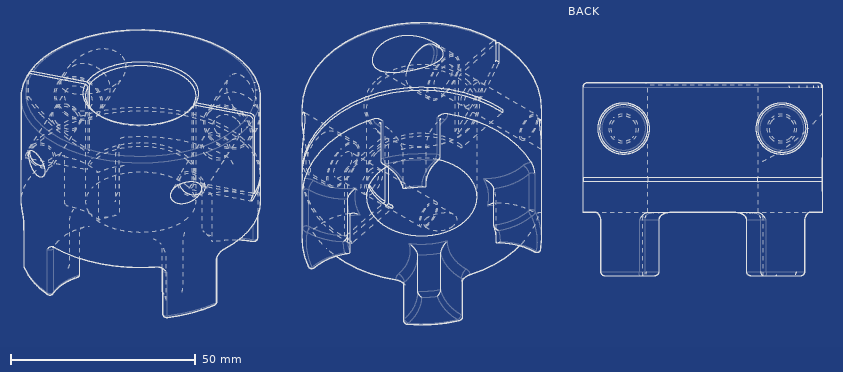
import cadquery as cq
import math

hub_radius = 32.5
hub_height = 35.2
hub_top_round = 1.3
bore_radius = 14.95
bore_chamfer = 0.7

jaw_count = 4
jaw_length = 17.3
jaw_inner_radius = 20.15
lobe_gap_radius = 15.7
lobe_gap_offset = 26.65
jaw_corner_round = 1.0
jaw_tip_round = 1.2
jaw_root_fillet = 2.0

saw_width = 1.2
flat_cut_height = 8.9
flat_cut_end_y = -2.0
split_cut_radius = 50.05
hinge_height = 26.9

screw_spacing = 42.9
screw_drop = 12.5
shank_diameter = 8.0
shank_length = 29.95
head_diameter = 13.0
head_length = 8.0
head_top_y = 18.1
head_round = 0.6
counterbore_diameter = 14.0
exit_hole_diameter = 6.8

screw_height = hub_height - screw_drop
head_seat_y = head_top_y - head_length
screw_end_y = head_seat_y - shank_length
screw_places = [-screw_spacing / 2, screw_spacing / 2]

overrun = 0.65
shoulder_tolerance = 0.05
wall_tolerance = 0.2


def y_cylinder(diameter, x, y_from, y_to):
    """A cylinder parallel to Y at screw height, reaching from one Y to a larger one."""
    start = cq.Vector(x, y_from, screw_height)
    along_y = cq.Vector(0, 1, 0)
    return cq.Workplane(cq.Solid.makeCylinder(diameter / 2, y_to - y_from, start, along_y))


def radius_of(edge):
    """How far the middle of an edge lies from the hub axis."""
    middle = edge.positionAt(0.5)
    return math.hypot(middle.x, middle.y)


def make_jaws():
    """Four separate jaws, rounded at the outer upright corners and at the tip."""
    lobe_gaps = (
        cq.Workplane("XY")
        .polarArray(lobe_gap_offset, 0, 360, jaw_count)
        .circle(lobe_gap_radius)
        .extrude(-jaw_length)
    )
    ring = cq.Workplane("XY").circle(hub_radius).circle(jaw_inner_radius).extrude(-jaw_length)
    jaws = []
    for plain_jaw in ring.cut(lobe_gaps).solids().vals():
        jaw = cq.Workplane(plain_jaw)
        upright_edges = jaw.edges("|Z").vals()
        outer_corners = [edge for edge in upright_edges if radius_of(edge) > jaw_inner_radius + overrun]
        jaw = jaw.newObject(outer_corners).fillet(jaw_corner_round)
        jaws.append(jaw.faces("<Z").edges().fillet(jaw_tip_round))
    return jaws


def fillet_jaw_roots(blank):
    """Fillet the edges where the jaws grow from the shoulder, inside the hub wall."""
    shoulder = cq.selectors.BoxSelector(
        (-hub_radius, -hub_radius, -shoulder_tolerance),
        (hub_radius, hub_radius, shoulder_tolerance),
        boundingbox=True,
    )
    nearest = bore_radius + overrun
    farthest = hub_radius - wall_tolerance
    roots = [edge for edge in blank.edges(shoulder).vals() if nearest < radius_of(edge) < farthest]
    return blank.newObject(roots).fillet(jaw_root_fillet)


def make_blank():
    """Bored hub with its jaws, before any sawing or drilling."""
    blank = cq.Workplane("XY").circle(hub_radius).extrude(hub_height)
    blank = blank.faces(">Z").edges().fillet(hub_top_round)
    blank = blank.cut(cq.Workplane("XY").circle(bore_radius).extrude(hub_height))
    bore_rim = cq.selectors.RadiusNthSelector(0)
    blank = blank.faces(">Z").edges("%CIRCLE").edges(bore_rim).chamfer(bore_chamfer)
    for jaw in make_jaws():
        blank = blank.union(jaw)
    return fillet_jaw_roots(blank)


def make_flat_cut():
    """Horizontal slot under the cap with a rounded end."""
    round_centre_y = flat_cut_end_y + saw_width / 2
    length = hub_radius + overrun - round_centre_y
    slot_end = cq.Workplane("YZ").center(round_centre_y, flat_cut_height).circle(saw_width / 2)
    slot_end = slot_end.extrude(hub_radius, both=True)
    slot = cq.Workplane("XY").box(2 * hub_radius, length, saw_width, centered=(True, False, True))
    return slot_end.union(slot.translate((0, round_centre_y, flat_cut_height)))


def make_split_cut():
    """Upright slot from the +X side; its bottom rises along the saw blade's arc to the hinge on -X."""
    bottom = flat_cut_height - saw_width / 2
    top = hub_height + overrun
    side = hub_radius + overrun
    centre_z = bottom + split_cut_radius
    arc_angle = math.acos((centre_z - hinge_height) / split_cut_radius)
    centre_x = -hub_radius + split_cut_radius * math.sin(arc_angle)
    arc_middle = (
        centre_x - split_cut_radius * math.sin(arc_angle / 2),
        centre_z - split_cut_radius * math.cos(arc_angle / 2),
    )
    return (
        cq.Workplane("XZ")
        .moveTo(-hub_radius, hinge_height)
        .threePointArc(arc_middle, (centre_x, bottom))
        .lineTo(side, bottom)
        .lineTo(side, top)
        .lineTo(-side, top)
        .lineTo(-side, hinge_height)
        .close()
        .extrude(saw_width / 2, both=True)
    )


def make_hub():
    """Hub with its hinged clamping cap and the stepped holes for the screws."""
    hub = make_blank().cut(make_flat_cut()).cut(make_split_cut())
    for x in screw_places:
        hub = hub.cut(y_cylinder(counterbore_diameter, x, head_seat_y, hub_radius))
        hub = hub.cut(y_cylinder(shank_diameter, x, screw_end_y, head_seat_y))
        hub = hub.cut(y_cylinder(exit_hole_diameter, x, -hub_radius, screw_end_y))
    return hub


def make_screw(x):
    """Cap screw whose shank fills its hole and whose head sits on the counterbore floor."""
    head = y_cylinder(head_diameter, x, head_seat_y, head_top_y)
    head = head.faces(">Y").edges().fillet(head_round)
    return head.union(y_cylinder(shank_diameter, x, screw_end_y, head_seat_y))


hub = make_hub()
screws = [make_screw(x) for x in screw_places]
result = cq.Compound.makeCompound([hub.val()] + [screw.val() for screw in screws])